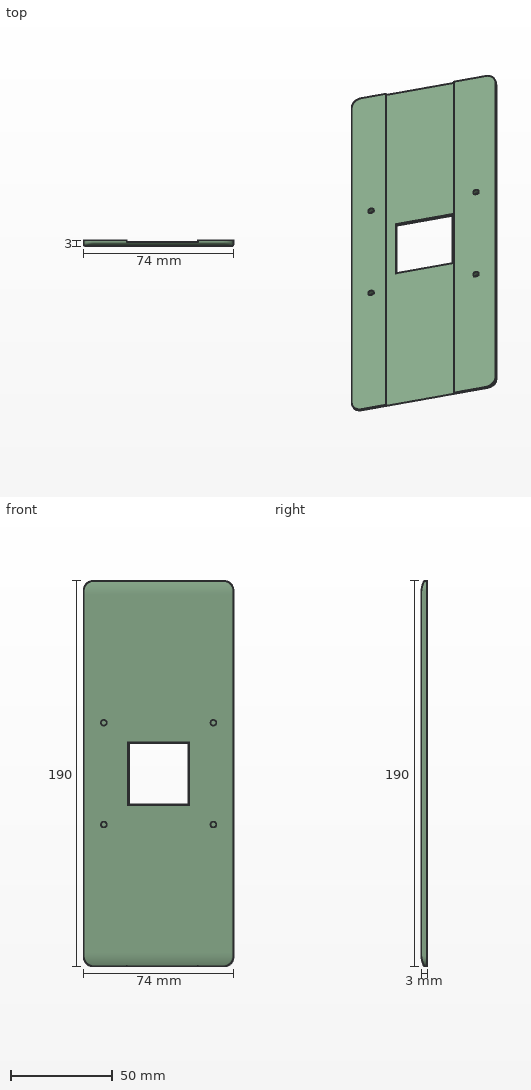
import cadquery as cq

width = 74.0
thickness = 3.0
height = 190.0
corner_radius = 5.0
rim_fillet = 1.1

crown_length = 6.6
crown_drop = 1.5
crown_radius = (crown_length**2 + crown_drop**2) / (2 * crown_drop)

window_width = 30.2
window_height = 31.2
window_chamfer = 0.5

recess_center_x = 1.9
recess_depth = 1.0
recess_width = 35.0

hole_diameter = 2.8
hole_depth = 2.8
hole_spacing_x = 54.0
hole_spacing_z = 50.2

front_y = -thickness / 2
rear_y = thickness / 2


def crowned_plate():
    """Side profile with arcs tangent to the front face, extruded across the width."""
    top = height / 2
    flat_top = top - crown_length
    edge_y = front_y + crown_drop
    middle_z = flat_top + crown_length / 2
    middle_y = front_y + crown_radius - (crown_radius**2 - (crown_length / 2) ** 2) ** 0.5
    profile = (
        cq.Workplane("YZ")
        .moveTo(rear_y, -top)
        .lineTo(rear_y, top)
        .lineTo(edge_y, top)
        .threePointArc((middle_y, middle_z), (front_y, flat_top))
        .lineTo(front_y, -flat_top)
        .threePointArc((middle_y, -middle_z), (edge_y, -top))
        .close()
    )
    return profile.extrude(width / 2, both=True)


def rounded_outline():
    """Upright prism with the four corners of the plate rounded."""
    prism = cq.Workplane("XY").box(width, thickness, height)
    return prism.edges("|Y").fillet(corner_radius)


def soften_rim(plate):
    """Fillet the front rim; it follows on from the long edges around the crowned ends."""
    return plate.edges("|Z and <Y").fillet(rim_fillet)


def rear_recess():
    """Shallow channel along the rear face, open at both ends of the plate."""
    channel = cq.Workplane("XY").box(recess_width, recess_depth, height)
    return channel.translate((recess_center_x, rear_y - recess_depth / 2, 0))


def window():
    """Opening that flares out to its full size at the front face."""
    straight_width = window_width - 2 * window_chamfer
    straight_height = window_height - 2 * window_chamfer
    opening = cq.Workplane("XY").box(straight_width, thickness, straight_height)
    flare = (
        cq.Workplane("XZ", origin=(0, front_y + window_chamfer, 0))
        .rect(straight_width, straight_height)
        .workplane(offset=window_chamfer)
        .rect(window_width, window_height)
        .loft(ruled=True)
    )
    return opening.union(flare)


def rear_holes():
    return (
        cq.Workplane("XZ", origin=(0, rear_y, 0))
        .rect(hole_spacing_x, hole_spacing_z, forConstruction=True)
        .vertices()
        .circle(hole_diameter / 2)
        .extrude(hole_depth)
    )


plate = soften_rim(crowned_plate().intersect(rounded_outline()))
result = plate.cut(rear_recess()).cut(window()).cut(rear_holes())